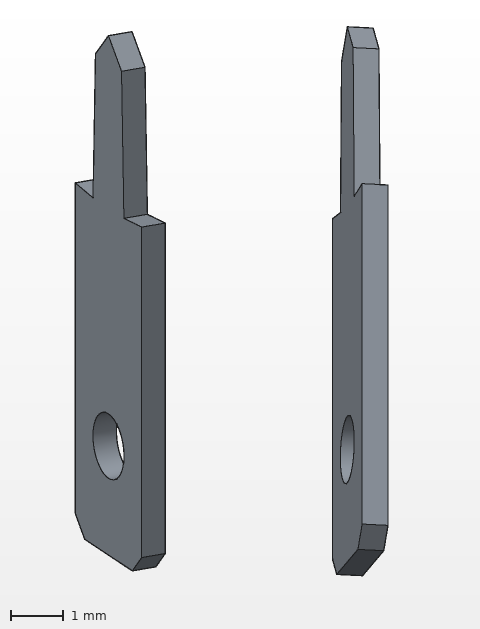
import cadquery as cq

height = 10.5
body_width = 2.8
thickness = 0.5

shoulder_height = 7.08
shoulder_drop = 0.06
corner_chamfer = 0.4

pin_root_width = 1.3
pin_end_width = 1.1
tip_length = 0.55

hole_diameter = 1.3
hole_height = 2.2

half_body = body_width / 2
half_root = pin_root_width / 2
half_end = pin_end_width / 2

right_side = [
    (half_body - corner_chamfer, 0),
    (half_body, corner_chamfer),
    (half_body, shoulder_height),
    (half_root, shoulder_height - shoulder_drop),
    (half_end, height - tip_length),
]
tip = (0, height)
left_side = [(-x, z) for x, z in reversed(right_side)]

back_face = cq.Workplane("XZ").workplane(offset=-thickness / 2)

blade = back_face.polyline(right_side + [tip] + left_side).close().extrude(thickness)
hole = back_face.center(0, hole_height).circle(hole_diameter / 2).extrude(thickness)

result = blade.cut(hole)